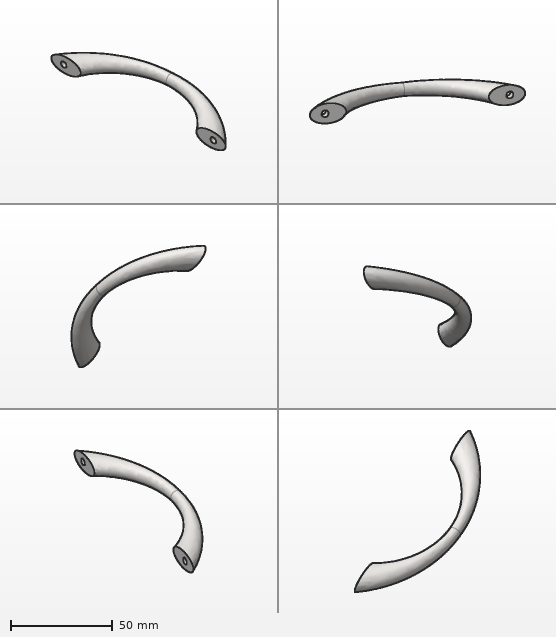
import cadquery as cq
import math

length = 112.0
rise = 27.5
inner_span = 74.1
bar_depth = 6.3
bar_height = 7.0
foot_height = 10.5
section_count = 7

hole_spacing = 96.0
hole_diameter = 3.6
hole_depth = 4.5
drill_tip_angle = 118.0


def arc_radius(span, arc_rise):
    """Radius of an arc with the given chord and rise."""
    return ((span / 2) ** 2 + arc_rise ** 2) / (2 * arc_rise)


def arc_point(span, arc_rise, fraction):
    """Point on an arc over Y = 0; fraction 0 is its -X end and 1 its apex."""
    radius = arc_radius(span, arc_rise)
    angle = math.asin(span / 2 / radius) * (1 - fraction)
    return cq.Vector(-radius * math.sin(angle), arc_rise - radius * (1 - math.cos(angle)), 0)


def cross_section(fraction):
    """Elliptical wire spanning the outer and inner arcs."""
    outer = arc_point(length, rise, fraction)
    inner = arc_point(inner_span, rise - bar_depth, fraction)
    across = inner - outer
    height = foot_height + (bar_height - foot_height) * fraction
    ellipse = cq.Edge.makeEllipse(
        across.Length / 2,
        height / 2,
        pnt=(outer + inner) * 0.5,
        dir=across.cross(cq.Vector(0, 0, 1)),
        xdir=across,
        angle1=0,
        angle2=360,
    )
    return cq.Wire.assembleEdges([ellipse])


def half_bar():
    """The -X half of the bar, from its foot to the middle."""
    sections = [cross_section(i / (section_count - 1)) for i in range(section_count)]
    return cq.Workplane(obj=cq.Solid.makeLoft(sections))


def screw_hole(x):
    """Drilled hole along +Y with a conical bottom."""
    radius = hole_diameter / 2
    tip_length = radius / math.tan(math.radians(drill_tip_angle / 2))
    profile = (
        cq.Workplane("XY")
        .polyline([(0, 0), (radius, 0), (radius, hole_depth), (0, hole_depth + tip_length)])
        .close()
    )
    return profile.revolve(360, (0, 0, 0), (0, 1, 0)).translate((x, 0, 0))


left_half = half_bar()
result = left_half.union(left_half.mirror("YZ"))
for side in (-1, 1):
    result = result.cut(screw_hole(side * hole_spacing / 2))